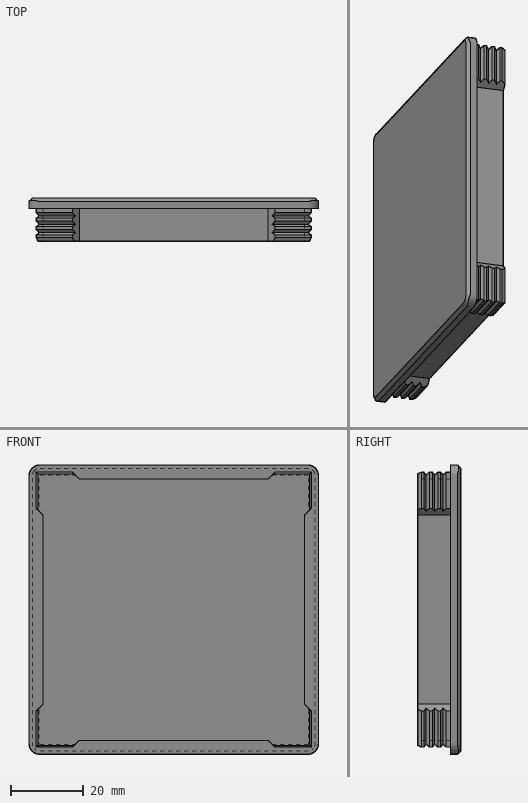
import cadquery as cq

flange_side = 80.0
total_depth = 12.0
flange_thickness = 3.0
flange_corner_radius = 3.0
flange_chamfer = 1.0

plug_side = 76.0
recess_depth = 1.9
recess_floor_length = 52.2
tip_chamfer_width = 0.5
tip_chamfer_length = 1.0

groove_count = 3
groove_pitch = 2.3
groove_depth = 0.8
groove_back_run = 0.9
groove_front_run = 0.6
first_groove_offset = 2.0

back_y = total_depth / 2
front_y = -total_depth / 2
flange_front_y = back_y - flange_thickness


def square_section(y, side):
    """Square outline across the Y axis at the given depth."""
    return cq.Workplane("XZ", origin=(0, y, 0)).rect(side, side)


def square_frustum(y_start, side_start, y_end, side_end):
    """Solid tapering from one square to another, running toward -Y."""
    return (
        square_section(y_start, side_start)
        .workplane(offset=y_start - y_end)
        .rect(side_end, side_end)
        .loft(ruled=True, combine=True)
    )


def make_flange():
    """Square plate with a bevelled back, rounded at its corners and along the mitres of the bevel."""
    plate = (
        square_section(back_y, flange_side)
        .extrude(flange_thickness)
        .edges("|Y")
        .fillet(flange_corner_radius)
    )
    bevel_back_side = flange_side - 2 * flange_chamfer
    bevel_front_side = bevel_back_side + 2 * flange_thickness
    bevel_envelope = (
        square_frustum(back_y, bevel_back_side, flange_front_y, bevel_front_side)
        .edges("not(|X or |Z)")
        .fillet(flange_corner_radius)
    )
    return plate.intersect(bevel_envelope)


def plug_stations():
    """Depth and side length of the plug at each break in its grooved profile."""
    groove_side = plug_side - 2 * groove_depth
    stations = [(flange_front_y, plug_side)]
    for index in range(groove_count):
        bottom_y = flange_front_y - first_groove_offset - index * groove_pitch
        stations.append((bottom_y + groove_back_run, plug_side))
        stations.append((bottom_y, groove_side))
        stations.append((bottom_y - groove_front_run, plug_side))
    stations.append((front_y + tip_chamfer_length, plug_side))
    stations.append((front_y, plug_side - 2 * tip_chamfer_width))
    return stations


def make_grooved_block():
    """Square block with V grooves running all the way around."""
    stations = plug_stations()
    block = square_frustum(*stations[0], *stations[1])
    for start, end in zip(stations[1:], stations[2:]):
        block = block.union(square_frustum(*start, *end))
    return block


def make_side_recess():
    """Shallow trapezoid, with 45 degree ends, that sets back the middle of the +Z side."""
    half_floor = recess_floor_length / 2
    floor_z = plug_side / 2 - recess_depth
    opening_z = flange_side / 2
    half_opening = half_floor + opening_z - floor_z
    return (
        cq.Workplane("XZ", origin=(0, flange_front_y, 0))
        .polyline(
            [
                (-half_floor, floor_z),
                (half_floor, floor_z),
                (half_opening, opening_z),
                (-half_opening, opening_z),
            ]
        )
        .close()
        .extrude(total_depth - flange_thickness)
    )


def make_plug():
    """Grooved block with a recess in each side, leaving four corner pads."""
    plug = make_grooved_block()
    recess = make_side_recess()
    for angle in (0, 90, 180, 270):
        plug = plug.cut(recess.rotate((0, 0, 0), (0, 1, 0), angle))
    return plug


result = make_flange().union(make_plug())